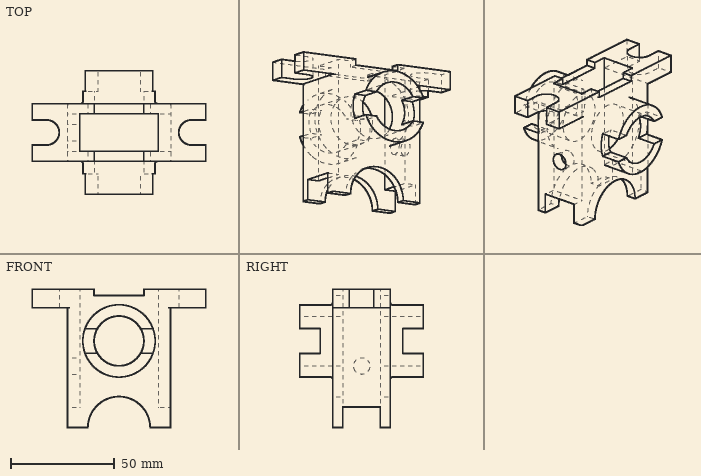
import cadquery as cq

length = 84.0
height = 67.0
body_length = 50.1
body_width = 28.0
flange_thickness = 9.0
corner_radius = 1.0

window_length = 38.0
window_width = 18.0
top_notch_depth = 3.0

boss_span = 60.0
boss_diameter = 35.0
bore_diameter = 24.0
bore_depth = 25.0
boss_fillet = 1.0
drive_slot_height = 12.0
drive_slot_depth = 10.0

end_slot_width = 12.0
end_slot_depth = 13.0

saddle_radius = 15.0
foot_height = 10.0
side_hole_diameter = 8.0
side_hole_height = 30.0

side_wall = (body_length - window_length) / 2


def block(x_size, y_size, z_size, z_top=0.0):
    """Box centred on X and Y that hangs down from z_top."""
    return (
        cq.Workplane("XY")
        .box(x_size, y_size, z_size, centered=(True, True, False))
        .translate((0, 0, z_top - z_size))
    )


def cylinder_along_y(diameter, span, z):
    """Cylinder parallel to Y, centred on Y = 0 at height z."""
    return cq.Workplane("XZ").center(0, z).circle(diameter / 2).extrude(span / 2, both=True)


column = block(body_length, body_width, height).edges("|Z").fillet(corner_radius)
part = column.union(cylinder_along_y(boss_diameter, boss_span, -bore_depth))

root_size = boss_diameter + 2 * boss_fillet
root_reach = body_width / 2 + boss_fillet
root_selector = cq.selectors.BoxSelector(
    (-root_size / 2, -root_reach, -bore_depth - root_size / 2),
    (root_size / 2, root_reach, -bore_depth + root_size / 2),
    boundingbox=True,
)
part = part.edges(root_selector).edges("%CIRCLE").fillet(boss_fillet)

part = part.union(block(length, body_width, flange_thickness))

part = part.cut(block(window_length, window_width, height))
part = part.cut(block(bore_diameter, body_width, top_notch_depth))

part = part.cut(cylinder_along_y(bore_diameter, boss_span, -bore_depth))
part = part.cut(cylinder_along_y(2 * saddle_radius, body_width, -height))

part = part.cut(block(body_length, window_width, foot_height, -height + foot_height))

for side in (-1, 1):
    drive_slot_top = -bore_depth + drive_slot_height / 2
    drive_slot = block(boss_diameter, drive_slot_depth, drive_slot_height, drive_slot_top)
    part = part.cut(drive_slot.translate((0, side * (boss_span - drive_slot_depth) / 2, 0)))

    end_slot = (
        cq.Workplane("XY")
        .center(side * length / 2, 0)
        .slot2D(2 * end_slot_depth, end_slot_width)
        .extrude(-flange_thickness)
    )
    part = part.cut(end_slot)

side_hole = (
    cq.Workplane("YZ", origin=(-body_length / 2, 0, side_hole_height - height))
    .circle(side_hole_diameter / 2)
    .extrude(side_wall)
)
result = part.cut(side_hole)